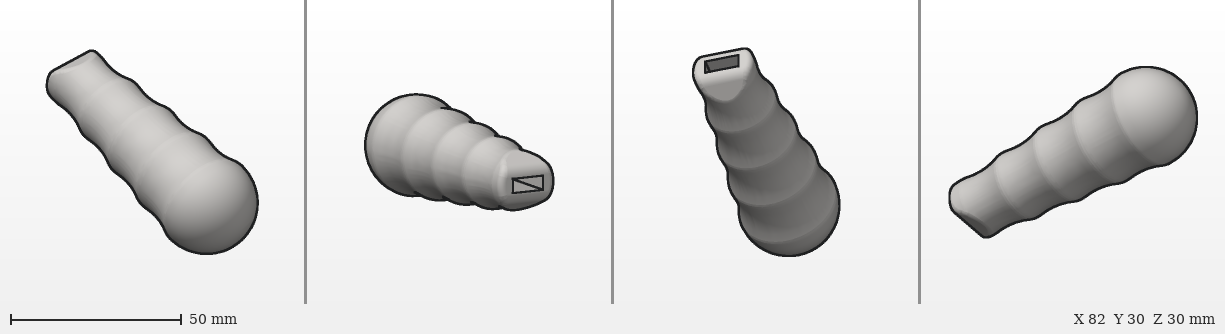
import cadquery as cq
import math

LENGTH = 82.0
KNOB_RADIUS = 15.0
KNOB_CENTER_X = LENGTH - KNOB_RADIUS

RING_COUNT = 5
RING_PITCH = 15.7
FIRST_RING_X = 4.3
RING_WIDTH = 1.7
FIRST_RING_RADIUS = 9.35
RING_GROWTH = (KNOB_RADIUS - FIRST_RING_RADIUS) / (RING_COUNT - 1)
VALLEY_OFFSET = 5.6
VALLEY_DEPTH = 0.4
REAR_EDGE_ROUND = 4.9
FRONT_EDGE_ROUND = 2.5

SELECT_MARGIN = 0.1

FLAT_ANGLE = 31.0
FLAT_HALF_HEIGHT = 4.75
NOSE_ROUND = 4.0
EDGE_ROUND = 2.0

SOCKET_WIDTH = 10.2
SOCKET_HEIGHT = 4.3
SOCKET_DEPTH = 49.2


def ring_x(index):
    return FIRST_RING_X + index * RING_PITCH


def ring_radius(index):
    return FIRST_RING_RADIUS + index * RING_GROWTH


def make_grip():
    """Revolve the rings, grooves and spherical knob about X."""
    half_width = RING_WIDTH / 2
    profile = cq.Workplane("XY").lineTo(0, ring_radius(0))
    for index in range(RING_COUNT - 1):
        radius = ring_radius(index)
        valley = (ring_x(index) + VALLEY_OFFSET, radius - VALLEY_DEPTH)
        next_edge = (ring_x(index + 1) - half_width, ring_radius(index + 1))
        profile = profile.lineTo(ring_x(index) + half_width, radius)
        profile = profile.threePointArc(valley, next_edge)
    diagonal = KNOB_RADIUS * math.sqrt(0.5)
    profile = profile.lineTo(KNOB_CENTER_X, KNOB_RADIUS)
    profile = profile.threePointArc((KNOB_CENTER_X + diagonal, diagonal), (LENGTH, 0))
    return profile.close().revolve(360, (0, 0, 0), (1, 0, 0))


def round_circle(body, x, radius, fillet):
    """Fillet the circular edge of the given radius at x."""
    reach = radius + SELECT_MARGIN
    slab = cq.selectors.BoxSelector(
        (x - SELECT_MARGIN, -reach, -reach), (x + SELECT_MARGIN, reach, reach), boundingbox=True
    )
    return body.edges(slab).edges("%CIRCLE").fillet(fillet)


def round_rings(body):
    """Blend the rings into the grooves; the end rings keep their outer sides."""
    half_width = RING_WIDTH / 2
    for index in range(RING_COUNT):
        radius = ring_radius(index)
        if index < RING_COUNT - 1:
            body = round_circle(body, ring_x(index) + half_width, radius, REAR_EDGE_ROUND)
        if index > 0:
            body = round_circle(body, ring_x(index) - half_width, radius, FRONT_EDGE_ROUND)
    return body


def cut_flats(body):
    """Slope the top and bottom of the nose."""
    run = RING_PITCH
    rise = run * math.tan(math.radians(FLAT_ANGLE))
    wedge = (
        cq.Workplane("XZ")
        .polyline([
            (0, FLAT_HALF_HEIGHT),
            (run, FLAT_HALF_HEIGHT + rise),
            (0, FLAT_HALF_HEIGHT + rise),
        ])
        .close()
        .extrude(KNOB_RADIUS, both=True)
    )
    return body.cut(wedge).cut(wedge.mirror("XY"))


def round_nose(body):
    """Round the flats into the nose face, then soften the curved edges around them."""
    body = body.faces("<X").edges("|Y").fillet(NOSE_ROUND)
    nose = cq.selectors.BoxSelector(
        (-SELECT_MARGIN, -KNOB_RADIUS, -KNOB_RADIUS), (FIRST_RING_X, KNOB_RADIUS, KNOB_RADIUS)
    )
    return body.edges(nose).edges("not |Y").edges("not %LINE").fillet(EDGE_ROUND)


def cut_socket(body):
    socket = cq.Workplane("YZ").rect(SOCKET_WIDTH, SOCKET_HEIGHT).extrude(SOCKET_DEPTH)
    return body.cut(socket)


grip = cut_flats(round_rings(make_grip()))
result = cut_socket(round_nose(grip))